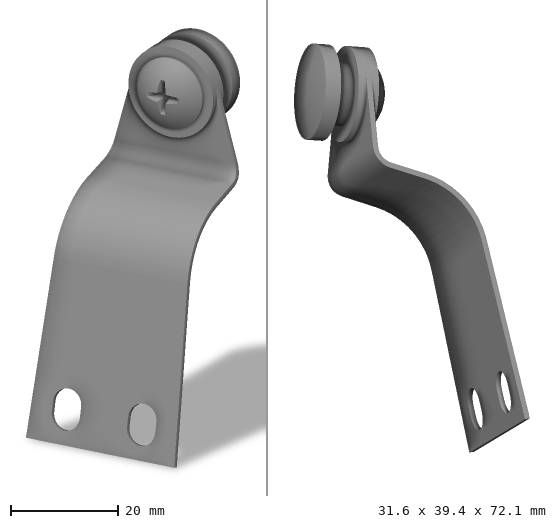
import cadquery as cq
import math


disc_radius = 9.0
disc_thickness = 1.5
hub_radius = 6.0
hub_length = 1.7
cap_dome_height = 1.6
head_radius = 7.0
head_rim = 0.5
head_dome_height = 3.25

recess_depth = 2.15
recess_floor = dict(arm=1.45, tip_half_width=0.2, inner_corner=0.6)
recess_opening = dict(arm=4.3, tip_half_width=0.6, inner_corner=0.95)

sheet = 1.0
slope = math.radians(13.3)
upright_drop = 12.55
small_bend_radius = 3.0
shelf_length = 6.9
large_bend_radius = 16.0
bracket_bottom = disc_radius - 72.1
shoulder_drop = 15.05
shoulder_half_width = 13.55
foot_half_width = 15.8

slot_width = 6.0
slot_length = 8.0
slot_spacing = 16.0
slot_edge_distance = 6.8

bracket_back = sheet
spool_length = 2 * (disc_thickness + hub_length)
cap_front = bracket_back + spool_length
head_back = -disc_thickness


def move(point, distance, direction):
    """Step from a (y, z) point along a unit direction."""
    return (point[0] + distance * direction[0], point[1] + distance * direction[1])


shelf_along = (-math.cos(slope), -math.sin(slope))
shelf_out = (-math.sin(slope), math.cos(slope))
leg_along = (-math.sin(slope), -math.cos(slope))
leg_out = (-math.cos(slope), math.sin(slope))
small_bend_middle = math.pi / 4 - slope / 2
small_bend_outward = (math.cos(small_bend_middle), -math.sin(small_bend_middle))
large_bend_outward = (-math.sqrt(0.5), math.sqrt(0.5))

upright_end = (0, -upright_drop)
small_center = (-small_bend_radius, -upright_drop)
shelf_start = move(small_center, -small_bend_radius, shelf_out)
shelf_end = move(shelf_start, shelf_length, shelf_along)
large_center = move(shelf_end, -large_bend_radius, shelf_out)
leg_start = move(large_center, large_bend_radius, leg_out)
foot_front_z = bracket_bottom + sheet * math.sin(slope)
leg_length = (leg_start[1] - foot_front_z) / math.cos(slope)
foot = move(leg_start, leg_length, leg_along)


def make_bent_sheet():
    """Sheet profile in the YZ plane, extruded to the full foot width."""
    small_outer_radius = small_bend_radius + sheet
    large_inner_radius = large_bend_radius - sheet
    profile = (
        cq.Workplane("YZ")
        .moveTo(0, disc_radius)
        .lineTo(*upright_end)
        .threePointArc(move(small_center, small_bend_radius, small_bend_outward), shelf_start)
        .lineTo(*shelf_end)
        .threePointArc(move(large_center, large_bend_radius, large_bend_outward), leg_start)
        .lineTo(*foot)
        .lineTo(*move(foot, -sheet, leg_out))
        .lineTo(*move(leg_start, -sheet, leg_out))
        .threePointArc(
            move(large_center, large_inner_radius, large_bend_outward),
            move(shelf_end, -sheet, shelf_out),
        )
        .lineTo(*move(shelf_start, -sheet, shelf_out))
        .threePointArc(
            move(small_center, small_outer_radius, small_bend_outward),
            (sheet, -upright_drop),
        )
        .lineTo(sheet, disc_radius)
        .close()
    )
    return profile.extrude(foot_half_width, both=True)


def make_bracket_outline():
    """Tapered front outline with a round top, as a block along Y."""
    shoulder_distance = math.hypot(shoulder_half_width, shoulder_drop)
    tangent_angle = math.acos(disc_radius / shoulder_distance) - math.atan2(
        shoulder_drop, shoulder_half_width
    )
    tangent_x = disc_radius * math.cos(tangent_angle)
    tangent_z = disc_radius * math.sin(tangent_angle)
    block_end = foot[0] - sheet
    return (
        cq.Workplane("XZ", origin=(0, sheet, 0))
        .moveTo(tangent_x, tangent_z)
        .threePointArc((0, disc_radius), (-tangent_x, tangent_z))
        .lineTo(-shoulder_half_width, -shoulder_drop)
        .lineTo(-foot_half_width, bracket_bottom)
        .lineTo(foot_half_width, bracket_bottom)
        .lineTo(shoulder_half_width, -shoulder_drop)
        .close()
        .extrude(sheet - block_end)
    )


def make_slots():
    """Pair of slot cutters square to the leg."""
    center = move(foot, -slot_edge_distance, leg_along)
    leg_plane = cq.Plane(origin=(0, *center), xDir=(1, 0, 0), normal=(0, *leg_out))
    return (
        cq.Workplane(leg_plane)
        .pushPoints([(-slot_spacing / 2, 0), (slot_spacing / 2, 0)])
        .slot2D(slot_length, slot_width, 90)
        .extrude(2 * sheet, both=True)
    )


def make_bracket():
    return make_bent_sheet().intersect(make_bracket_outline()).cut(make_slots())


def make_disc(radius, start_y, length):
    """Cylinder on the clamp axis, growing toward +Y."""
    return cq.Workplane("XZ", origin=(0, start_y, 0)).circle(radius).extrude(-length)


def make_domed_disc(radius, rim, dome_height):
    """Disc with a spherical dome; its flat face is at y = 0 and its apex on +Y."""
    sphere_radius = (radius**2 + dome_height**2) / (2 * dome_height)
    mid_radius = radius / 2
    mid_y = rim + dome_height - sphere_radius + math.sqrt(sphere_radius**2 - mid_radius**2)
    return (
        cq.Workplane("XY")
        .lineTo(radius, 0)
        .lineTo(radius, rim)
        .threePointArc((mid_radius, mid_y), (0, rim + dome_height))
        .close()
        .revolve(360, (0, 0), (0, 1))
    )


def cross_points(arm, tip_half_width, inner_corner):
    """Corners of a four-armed cross with tapering arms."""
    points = []
    for quarter in range(4):
        cosine = round(math.cos(quarter * math.pi / 2))
        sine = round(math.sin(quarter * math.pi / 2))
        for u, v in [(arm, -tip_half_width), (arm, tip_half_width), (inner_corner, inner_corner)]:
            points.append((u * cosine - v * sine, u * sine + v * cosine))
    return points


def make_screw():
    """Domed screw head facing -Y, with a tapered cross recess."""
    head = make_domed_disc(head_radius, head_rim, head_dome_height)
    head = head.rotate((0, 0, 0), (0, 0, 1), 180).translate((0, head_back, 0))
    apex = head_back - head_rim - head_dome_height
    recess = (
        cq.Workplane("XZ", origin=(0, apex + recess_depth, 0))
        .polyline(cross_points(**recess_floor))
        .close()
        .workplane(offset=recess_depth)
        .polyline(cross_points(**recess_opening))
        .close()
        .loft(ruled=True)
    )
    return head.cut(recess)


def make_flanged_bushing():
    """Flange at y = 0 with its hub on the +Y side."""
    flange = make_disc(disc_radius, 0, disc_thickness)
    return flange.union(make_disc(hub_radius, disc_thickness, hub_length))


def make_bushings():
    """Two bushings, hub to hub, forming a spool behind the bracket."""
    bushings = []
    for start_y, turn in [(bracket_back, 0), (cap_front, 180)]:
        bushing = make_flanged_bushing().rotate((0, 0, 0), (0, 0, 1), turn)
        bushings.append(bushing.translate((0, start_y, 0)).val())
    return bushings


bracket = make_bracket()
washer = make_disc(disc_radius, head_back, disc_thickness)
screw = make_screw()
bushings = make_bushings()
cap = make_domed_disc(disc_radius, disc_thickness, cap_dome_height).translate((0, cap_front, 0))

result = cq.Compound.makeCompound(
    [bracket.val(), washer.val(), screw.val(), *bushings, cap.val()]
)